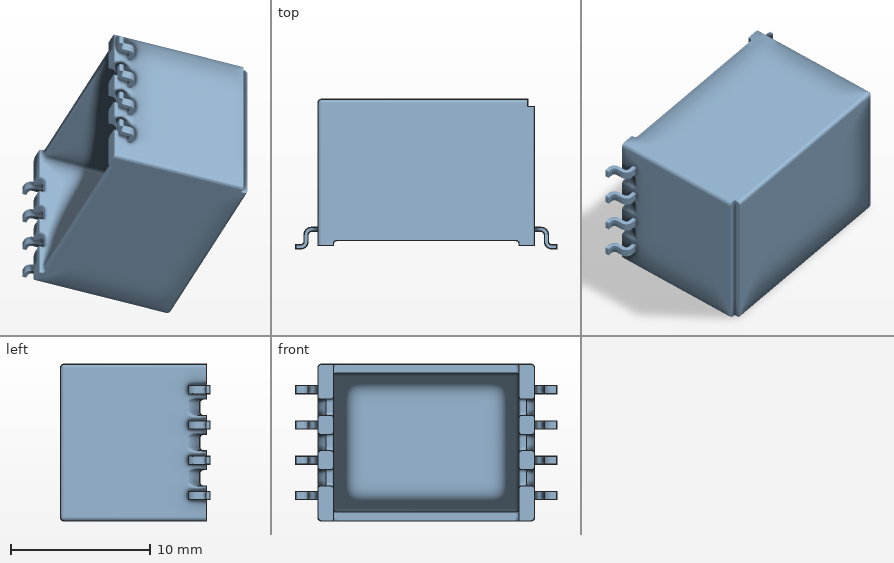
import cadquery as cq

overall_width = 18.78
body_width = 15.59
body_depth = 10.52
body_height = 11.29

side_wall = 1.13
flat_wall = 0.64
back_wall = 0.6
inner_edge_radius = 0.25
outer_edge_radius = 0.28
front_relief_depth = 0.35
marker_width = 0.49
marker_depth = 0.5

pin_count = 4
pin_pitch = 2.54
pin_width = 0.6
pin_thickness = 0.3
pin_drop = 0.25
pin_span = 1.55
pin_foot_length = 0.6
pin_inner_radius = 0.25

slot_width = 1.16
slot_floor_depth = 0.49
slot_ramp_depth = 1.33
slot_ramp_width = 0.6
slot_rim_radius = 0.2
slot_corner_radius = 0.25

half_width = body_width / 2
cavity_half_width = half_width - side_wall
pin_outer_radius = pin_inner_radius + pin_thickness
slot_count = pin_count - 1

margin = 0.02


def centred_places(count):
    """Heights of a row of items at the pin pitch, centred on z = 0."""
    return [(i - (count - 1) / 2) * pin_pitch for i in range(count)]


def prism(outline, z_centre, height):
    """Extrude an XY outline to the given height, centred on z_centre."""
    return outline.extrude(height / 2, both=True).translate((0, 0, z_centre))


def make_shell():
    """Box open at the front, with a relieved front edge between the side walls."""
    box = cq.Workplane("XY").box(body_width, body_depth, body_height, centered=(True, False, True))
    box = box.edges("(|Y) or (>Y)").fillet(outer_edge_radius)

    cavity = cq.Workplane("XY").box(
        2 * cavity_half_width,
        body_depth - back_wall + inner_edge_radius,
        body_height - 2 * flat_wall,
        centered=(True, False, True),
    )
    cavity = cavity.translate((0, -inner_edge_radius, 0)).edges("(|Y) or (>Y)").fillet(inner_edge_radius)

    relief = cq.Workplane("XY").box(
        2 * cavity_half_width, 2 * front_relief_depth, body_height, centered=True
    )
    relief = relief.edges("|Z and >Y").fillet(inner_edge_radius)
    return box.cut(cavity).cut(relief)


def make_marker_notch():
    """Full-height step in the rear corner on the +X side."""
    notch = cq.Workplane("XY").box(2 * marker_width, 2 * marker_depth, body_height)
    return notch.translate((half_width, body_depth, 0))


def make_slot(z_centre):
    """Cutter for one slot in the +X wall: a flat floor, then a ramp deepening outwards."""
    clearance = 0.56
    ramp_start = half_width - slot_ramp_width
    ramp_slope = (slot_ramp_depth - slot_floor_depth) / slot_ramp_width
    outer_x = half_width + clearance
    outline = (
        cq.Workplane("XY")
        .moveTo(cavity_half_width - clearance, -clearance)
        .lineTo(cavity_half_width - clearance, slot_floor_depth)
        .lineTo(ramp_start, slot_floor_depth)
        .lineTo(outer_x, slot_floor_depth + ramp_slope * (outer_x - ramp_start))
        .lineTo(outer_x, -clearance)
        .close()
    )
    cutter = prism(outline, 0, slot_width)
    floor_and_ramp = cq.selectors.BoxSelector(
        (cavity_half_width - clearance + margin, slot_floor_depth - margin, -body_height),
        (outer_x - margin, body_depth, body_height),
    )
    cutter = cutter.edges("#Z").edges(floor_and_ramp).fillet(slot_corner_radius)
    return cutter.translate((0, 0, z_centre))


def make_pin(z_centre):
    """Gull-wing pin on the +X side, from the wall out to its soldering foot."""
    tip_x = overall_width / 2
    rise_x = tip_x - pin_foot_length
    foot_y = -pin_drop
    top_y = foot_y + pin_span
    outline = (
        cq.Workplane("XY")
        .moveTo(half_width, top_y)
        .lineTo(rise_x - pin_outer_radius, top_y)
        .radiusArc((rise_x, top_y - pin_outer_radius), pin_outer_radius)
        .lineTo(rise_x, foot_y + pin_outer_radius)
        .radiusArc((rise_x + pin_inner_radius, foot_y + pin_thickness), -pin_inner_radius)
        .lineTo(tip_x, foot_y + pin_thickness)
        .lineTo(tip_x, foot_y)
        .lineTo(rise_x + pin_inner_radius, foot_y)
        .radiusArc((rise_x - pin_thickness, foot_y + pin_outer_radius), pin_outer_radius)
        .lineTo(rise_x - pin_thickness, top_y - pin_outer_radius)
        .radiusArc((rise_x - pin_outer_radius, top_y - pin_thickness), -pin_inner_radius)
        .lineTo(half_width, top_y - pin_thickness)
        .close()
    )
    return prism(outline, z_centre, pin_width)


def rim_edges(x_face, z_centre):
    """Select the rim that a slot leaves in the wall face at x_face."""
    reach = slot_width / 2 + margin
    return cq.selectors.BoxSelector(
        (x_face - margin, margin, z_centre - reach),
        (x_face + margin, 2 * slot_ramp_depth, z_centre + reach),
    )


body = make_shell()
for z in centred_places(slot_count):
    slot = make_slot(z)
    body = body.cut(slot).cut(slot.mirror("YZ"))
for z in centred_places(slot_count):
    for x in (cavity_half_width, half_width):
        for side in (-1, 1):
            body = body.edges(rim_edges(side * x, z)).fillet(slot_rim_radius)

body = body.cut(make_marker_notch())

for z in centred_places(pin_count):
    pin = make_pin(z)
    body = body.union(pin).union(pin.mirror("YZ"))

result = body